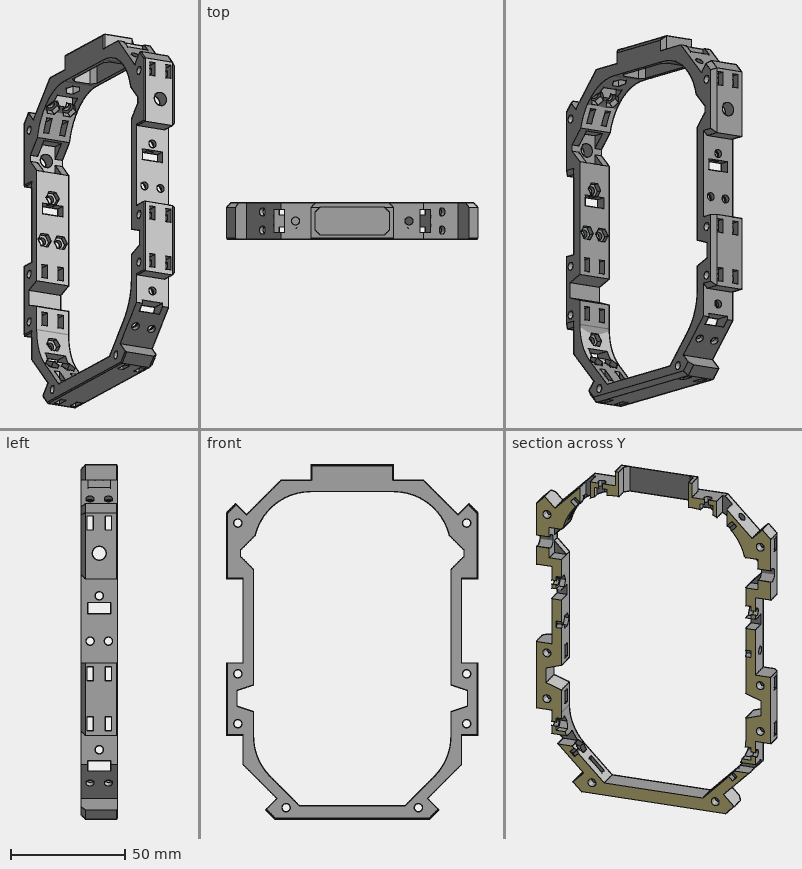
import cadquery as cq
import math

depth = 16.0
height = 155.0
half_width = 55.0
mid_y = depth / 2

wall_outer_x = 47.8
shoulder_z = 148.3
shoulder_x = 31.1
crook_x = 46.2
crook_z = shoulder_z - (crook_x - shoulder_x)
tip_rise = 4.8
tip_x = crook_x + tip_rise
pad_bevel = half_width - tip_x
tip_z = crook_z + tip_rise
upper_pad_bottom_z = 105.0
lower_pad_top_z = 68.4
lower_pad_bottom_z = 36.6
lower_corner_z = 24.0
foot_crook_x = 32.9
foot_crook_z = lower_corner_z - (wall_outer_x - foot_crook_x)
foot_tip_rise = 5.0
foot_tip_x = foot_crook_x + foot_tip_rise
foot_tip_z = foot_crook_z - foot_tip_rise
foot_x = foot_tip_x - foot_tip_z

wall_inner_x = 43.1
ceiling_z = 143.2
floor_z = 6.0
floor_x = 23.1
corner_radius = 25.0

tab_half_width = 18.0
tab_opening_length = 32.5
tab_opening_width = 12.2
tab_opening_chamfer = 2.2

back_chamfer = 2.0
front_chamfer = 0.5

button_z = 116.3
button_flat_half = 1.4
button_notch_x = 48.8
button_hole_d = 6.0
button_pocket_width = 8.7

cable_notch_z = 52.9
cable_notch_x = 50.3
cable_notch_outer_half = 3.4
cable_notch_inner_half = 5.8

screw_d = 3.5
pad_screw_x = 50.0
pad_screw_zs = (129.5, 63.6, 41.8)
foot_screw_x = 28.9
foot_screw_z = 5.1
nut_slot_length = 6.0
nut_slot_width = 2.6
row_offset = 4.0
nut_sides = 6
nut_corner_d = 6.6
nut_depth = 2.5

top_hole_x = 24.8
wall_hole_z = 97.7
wall_pair_z = 77.9
lower_hole_z = 30.4
upper_incline_hole_x = 39.3
lower_incline_hole_x = 39.6
window_width = 10.0
wall_window_z = (89.9, 94.7)
top_window_x = (29.7, 34.3)
lower_window_z = (21.2, 25.5)

row_ys = (mid_y - row_offset, mid_y + row_offset)
diagonal = math.sqrt(0.5)
reach = 20.0
clearance = 2.0
position_tolerance = 0.1


def mirrored(points):
    """Right-hand points followed by their mirror images, in loop order."""
    return points + [(-x, z) for x, z in reversed(points)]


def prism(points):
    """Extrude an XZ polygon through the full depth of the frame."""
    return cq.Workplane("XZ").polyline(points).close().extrude(-depth)


def box(x_range, y_range, z_range):
    corner = cq.Vector(x_range[0], y_range[0], z_range[0])
    sizes = [high - low for low, high in (x_range, y_range, z_range)]
    return cq.Workplane(cq.Solid.makeBox(*sizes, corner))


def y_band(width, center=mid_y):
    return (center - width / 2, center + width / 2)


def both_sides(shape):
    return shape.union(shape.mirror("YZ"))


def outer_body():
    body = prism(mirrored([
        (tab_half_width, height),
        (tab_half_width, shoulder_z),
        (shoulder_x, shoulder_z),
        (crook_x, crook_z),
        (tip_x, tip_z),
        (half_width, tip_z - pad_bevel),
        (half_width, upper_pad_bottom_z),
        (wall_outer_x, upper_pad_bottom_z),
        (wall_outer_x, lower_pad_top_z),
        (half_width, lower_pad_top_z),
        (half_width, lower_pad_bottom_z),
        (wall_outer_x, lower_pad_bottom_z),
        (wall_outer_x, lower_corner_z),
        (foot_crook_x, foot_crook_z),
        (foot_tip_x, foot_tip_z),
        (foot_x, 0),
    ]))
    rim_middles = [
        (0, height),
        (tab_half_width, (height + shoulder_z) / 2),
        ((tip_x + half_width) / 2, tip_z - pad_bevel / 2),
        (half_width, (tip_z - pad_bevel + upper_pad_bottom_z) / 2),
        ((half_width + wall_outer_x) / 2, upper_pad_bottom_z),
        (half_width, (lower_pad_top_z + lower_pad_bottom_z) / 2),
        ((half_width + wall_outer_x) / 2, lower_pad_bottom_z),
        ((foot_tip_x + foot_x) / 2, foot_tip_z / 2),
        (0, 0),
    ]

    def is_rim(edge):
        middle = edge.Center()
        offsets = [math.hypot(abs(middle.x) - x, middle.z - z) for x, z in rim_middles]
        return min(offsets) < position_tolerance

    for face, size in ((">Y", back_chamfer), ("<Y", front_chamfer)):
        rim = [edge for edge in body.faces(face).edges().vals() if is_rim(edge)]
        body = body.newObject(rim).chamfer(size)
    return body


def inner_opening():
    knee_z = floor_z + wall_inner_x - floor_x
    opening = prism(mirrored([
        (wall_inner_x, ceiling_z),
        (wall_inner_x, knee_z),
        (floor_x, floor_z),
    ]))
    return opening.edges("|Y").edges("<X or >X").fillet(corner_radius)


def tab_opening():
    opening = cq.Workplane("XY").box(tab_opening_length, tab_opening_width, reach)
    opening = opening.edges("|Z").chamfer(tab_opening_chamfer)
    return opening.translate((0, mid_y, height + clearance - reach / 2))


def button_seat():
    run = button_notch_x - wall_inner_x
    notch_half = button_flat_half + run
    tail_x = wall_inner_x - clearance
    notch = prism([
        (tail_x, button_z + notch_half + clearance),
        (button_notch_x, button_z + button_flat_half),
        (button_notch_x, button_z - button_flat_half),
        (wall_inner_x, button_z - notch_half),
        (tail_x, button_z - notch_half),
    ])
    pocket_z = (button_z - notch_half, button_z + notch_half)
    pocket = box((tail_x, button_notch_x), y_band(button_pocket_width), pocket_z)
    return both_sides(notch.union(pocket)).union(through_walls_x(mid_y, button_z, button_hole_d))


def cable_notch():
    inner, outer = cable_notch_inner_half, cable_notch_outer_half
    return both_sides(prism([
        (wall_inner_x, cable_notch_z + inner),
        (cable_notch_x, cable_notch_z + outer),
        (cable_notch_x, cable_notch_z - outer),
        (wall_inner_x, cable_notch_z - inner),
    ]))


def through_walls_x(y, z, diameter):
    return cq.Workplane(cq.Solid.makeCylinder(
        diameter / 2, 2 * half_width, cq.Vector(-half_width, y, z), cq.Vector(1, 0, 0)))


def nut_screw(x, y, z, outward, wall):
    """Screw hole entering at a point on the outer wall, with a hex nut recess on the inside.

    outward is the (x, z) unit normal of the outer wall and wall its thickness there.
    """
    normal = cq.Vector(outward[0], 0, outward[1])
    start = cq.Vector(x, y, z)
    hole_plane = cq.Plane(origin=start + normal * clearance, xDir=(0, 1, 0), normal=-normal)
    hole = cq.Workplane(hole_plane).circle(screw_d / 2).extrude(wall + 2 * clearance)
    nut_plane = cq.Plane(origin=start - normal * (wall - nut_depth), xDir=(0, 1, 0), normal=-normal)
    nut = cq.Workplane(nut_plane).polygon(nut_sides, nut_corner_d).extrude(nut_depth + clearance)
    return hole.union(nut)


def wall_screws():
    """Every nut-backed screw around the walls, on both sides of the frame."""
    side_wall = wall_outer_x - wall_inner_x
    top_wall = shoulder_z - ceiling_z
    incline_up = (diagonal, diagonal)
    incline_down = (diagonal, -diagonal)
    lower_wall = diagonal * (wall_outer_x - lower_corner_z - floor_x + floor_z)
    screws = [
        nut_screw(top_hole_x, mid_y, shoulder_z, (0, 1), top_wall),
        nut_screw(wall_outer_x, mid_y, wall_hole_z, (1, 0), side_wall),
        nut_screw(wall_outer_x, mid_y, lower_hole_z, (1, 0), side_wall),
    ]
    for y in row_ys:
        upper_z = shoulder_z + shoulder_x - upper_incline_hole_x
        lower_z = lower_corner_z - wall_outer_x + lower_incline_hole_x
        screws.append(nut_screw(wall_outer_x, y, wall_pair_z, (1, 0), side_wall))
        screws.append(nut_screw(upper_incline_hole_x, y, upper_z, incline_up, side_wall))
        screws.append(nut_screw(lower_incline_hole_x, y, lower_z, incline_down, lower_wall))
    cutter = screws[0]
    for screw in screws[1:]:
        cutter = cutter.union(screw)
    return both_sides(cutter)


def windows():
    band = y_band(window_width)
    across = (-half_width, half_width)
    top = both_sides(box(top_window_x, band, (shoulder_z - reach, shoulder_z)))
    return top.union(box(across, band, wall_window_z)).union(box(across, band, lower_window_z))


def pad_screws():
    points = [(pad_screw_x, z) for z in pad_screw_zs] + [(foot_screw_x, foot_screw_z)]
    return cq.Workplane("XZ").pushPoints(mirrored(points)).circle(screw_d / 2).extrude(-depth)


def nut_slots():
    half = nut_slot_length / 2
    cutter = cq.Workplane("XY")
    for y in row_ys:
        band = y_band(nut_slot_width, y)
        for z in pad_screw_zs:
            cutter = cutter.add(box((-half_width, half_width), band, (z - half, z + half)))
        foot_slot = box((foot_screw_x - half, foot_screw_x + half), band, (0, reach))
        cutter = cutter.add(both_sides(foot_slot))
    return cutter.combine()


result = outer_body()
for cutter in (
    inner_opening(),
    tab_opening(),
    button_seat(),
    cable_notch(),
    wall_screws(),
    windows(),
    pad_screws(),
    nut_slots(),
):
    result = result.cut(cutter)